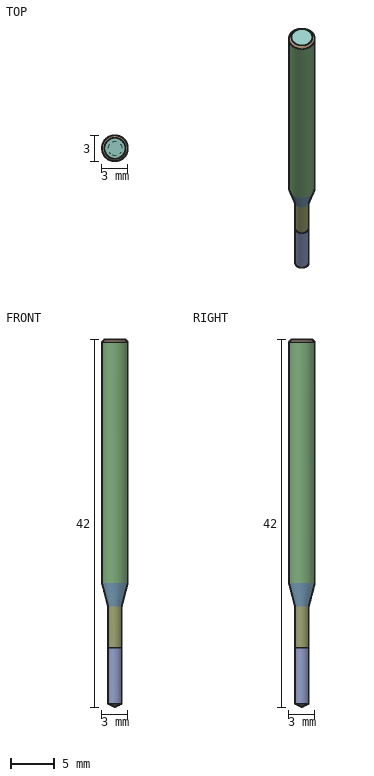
import cadquery as cq

overall_length = 42.0
shank_diameter = 3.0
neck_diameter = 1.6
cutter_diameter = 1.6
end_chamfer = 0.3

point_height = 0.38
cutter_top = 6.8
neck_top = 11.5
taper_top = 14.15

shank_radius = shank_diameter / 2
neck_radius = neck_diameter / 2
cutter_radius = cutter_diameter / 2


def make_shank():
    """Chamfered shank that tapers down to a slim neck."""
    return (
        cq.Workplane("YZ")
        .moveTo(0, cutter_top)
        .lineTo(-neck_radius, cutter_top)
        .lineTo(-neck_radius, neck_top)
        .lineTo(-shank_radius, taper_top)
        .lineTo(-shank_radius, overall_length - end_chamfer)
        .lineTo(end_chamfer - shank_radius, overall_length)
        .lineTo(0, overall_length)
        .close()
        .revolve(360, (0, 0), (0, 1))
    )


def make_cutter():
    """Cylindrical cutting length with a shallow conical point, butted against the neck."""
    return (
        cq.Workplane("XZ")
        .moveTo(0, 0)
        .lineTo(-cutter_radius, point_height)
        .lineTo(-cutter_radius, cutter_top)
        .lineTo(0, cutter_top)
        .close()
        .revolve(360, (0, 0), (0, 1))
    )


shank = make_shank()
cutter = make_cutter()

result = cq.Compound.makeCompound([shank.val(), cutter.val()])